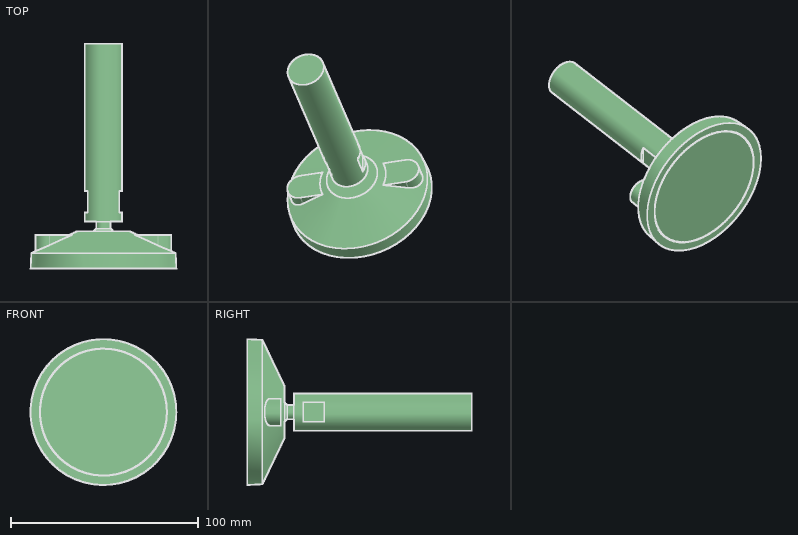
import cadquery as cq


base_diameter = 78.0
rim_top_diameter = 77.2
rim_height = 8.2
base_height = 20.0
base_top_diameter = 28.0

recess_diameter = 68.0
pad_diameter = 67.5
pad_gap_depth = 1.0

lug_width = 14.5
lug_reach = 36.25
lug_top = 18.0

neck_diameter = 7.8
collar_diameter = 10.5

stud_diameter = 20.0
stud_start = 25.0
stud_end = 120.0
flats_width = 17.0
flats_start = 30.0
flats_length = 11.3


def make_base():
    """Tapered rim below a cone with a flat top."""
    return (
        cq.Workplane("XY")
        .moveTo(0, 0)
        .lineTo(base_diameter / 2, 0)
        .lineTo(rim_top_diameter / 2, rim_height)
        .lineTo(base_top_diameter / 2, base_height)
        .lineTo(0, base_height)
        .close()
        .revolve(360, (0, 0, 0), (0, 1, 0))
    )


def disc(diameter, start, end):
    """Cylinder on the Y axis between two heights."""
    return cq.Workplane("XZ", origin=(0, start, 0)).circle(diameter / 2).extrude(start - end)


def make_lugs():
    """Round-ended bar across the base; only its two ends emerge from the cone."""
    return (
        cq.Workplane("XZ")
        .workplane(offset=-rim_height)
        .slot2D(2 * lug_reach, lug_width)
        .extrude(rim_height - lug_top)
    )


def make_neck():
    """Thin neck that widens at 45 degrees to a collar where it enters the base."""
    collar_height = (collar_diameter - neck_diameter) / 2
    return (
        cq.Workplane("XY")
        .moveTo(0, base_height)
        .lineTo(collar_diameter / 2, base_height)
        .lineTo(neck_diameter / 2, base_height + collar_height)
        .lineTo(neck_diameter / 2, stud_start)
        .lineTo(0, stud_start)
        .close()
        .revolve(360, (0, 0, 0), (0, 1, 0))
    )


def make_stud():
    """Plain stud with a wrench flat milled on each X side."""
    stud = disc(stud_diameter, stud_start, stud_end)
    cut_depth = (stud_diameter - flats_width) / 2
    for side in (-1, 1):
        cutter = cq.Workplane("XY").box(cut_depth, flats_length, stud_diameter).translate(
            (side * (flats_width + cut_depth) / 2, flats_start + flats_length / 2, 0)
        )
        stud = stud.cut(cutter)
    return stud


def make_pad_gap():
    """Ring-shaped gap around the pad."""
    return disc(recess_diameter, 0, pad_gap_depth).cut(disc(pad_diameter, 0, pad_gap_depth))


result = make_base().union(make_lugs()).cut(make_pad_gap()).union(make_neck()).union(make_stud())